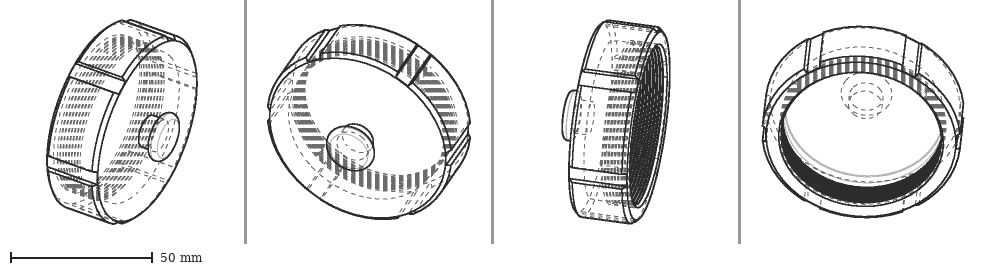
import cadquery as cq

body_radius = 35.0
body_length = 21.0
rim_chamfer = 1.55

notch_count = 6
notch_depth = 1.5
notch_floor_width = 5.3
notch_mouth_width = 6.6

mouth_radius = 29.05
bore_radius = 28.3
taper_start = 13.2
floor_depth = 16.95
floor_corner_radius = 28.15
floor_fillet = 0.3

thread_start = 1.2
thread_pitch = 1.2
thread_turns = 8
thread_depth = 0.9
crest_width = 0.3

stem_radius = 5.95
knob_radius = 8.95
knob_thickness = 3.5
knob_edge_round = 1.715
overall_length = 29.5
stem_length = overall_length - body_length - knob_thickness


def cylinder(start, length, radius):
    """Solid cylinder along X, beginning at x = start."""
    return cq.Workplane("YZ", origin=(start, 0, 0)).circle(radius).extrude(length)


def revolved(points):
    """Solid of revolution about X from a closed (x, radius) outline."""
    outline = cq.Workplane("XY").polyline(points).close()
    return outline.revolve(360, (0, 0, 0), (1, 0, 0))


def grip_notch(angle):
    """Full-length notch with a flat floor and flared walls, at an angle about X."""
    floor_y = body_radius - notch_depth
    flare = (notch_mouth_width - notch_floor_width) / 2 / notch_depth
    outer_y = body_radius + notch_depth
    outer_half = notch_floor_width / 2 + flare * (outer_y - floor_y)
    floor_half = notch_floor_width / 2
    corners = [
        (floor_y, -floor_half),
        (outer_y, -outer_half),
        (outer_y, outer_half),
        (floor_y, floor_half),
    ]
    notch = cq.Workplane("YZ").polyline(corners).close().extrude(body_length)
    return notch.rotate((0, 0, 0), (1, 0, 0), angle)


def cavity():
    """Stepped bore with a tapered mouth and a rounded floor edge."""
    bore = revolved([
        (0, 0),
        (0, mouth_radius),
        (thread_start, bore_radius),
        (taper_start, bore_radius),
        (floor_depth, floor_corner_radius),
        (floor_depth, 0),
    ])
    return bore.faces(">X").edges().fillet(floor_fillet)


def thread_grooves():
    """Saw-tooth sleeve whose peaks cut V grooves into the bore."""
    thread_end = thread_start + thread_turns * thread_pitch
    inner_radius = bore_radius - thread_depth
    groove_width = thread_pitch - crest_width
    points = [(thread_start, inner_radius), (thread_start, bore_radius)]
    for turn in range(thread_turns):
        turn_start = thread_start + turn * thread_pitch
        points.append((turn_start + groove_width / 2, bore_radius + thread_depth))
        points.append((turn_start + groove_width, bore_radius))
        points.append((turn_start + thread_pitch, bore_radius))
    points.append((thread_end, inner_radius))
    return revolved(points)


def knob():
    """Stem and round-edged disc."""
    stem = cylinder(body_length, stem_length, stem_radius)
    disc = cylinder(body_length + stem_length, knob_thickness, knob_radius)
    return stem.union(disc.edges().fillet(knob_edge_round))


body = cylinder(0, body_length, body_radius).edges().chamfer(rim_chamfer)
for index in range(notch_count):
    body = body.cut(grip_notch(index * 360 / notch_count))

result = body.cut(cavity()).cut(thread_grooves()).union(knob())